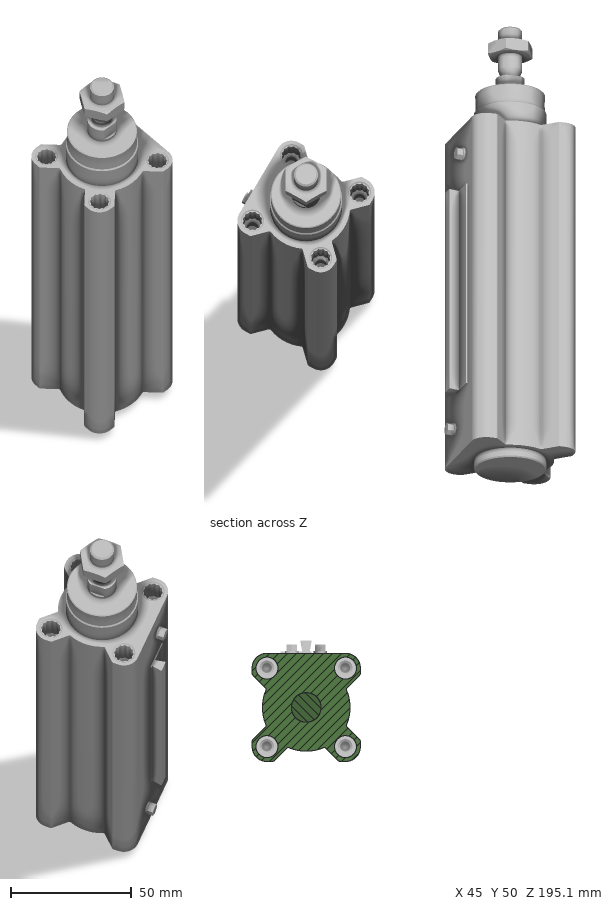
import cadquery as cq
import math


body_width = 45.0
body_length = 144.0
half_width = body_width / 2
barrel_radius = 18.25
arm_radius = 6.25
screw_offset = half_width - arm_radius
arm_corner_fillet = 1.0
barrel_blend_fillet = 0.8

collar_radius = 15.0
collar_height = 10.2
collar_chamfer_height = 0.6
neck_radius = 14.5
neck_waist_radius = 14.3
neck_top = 18.0
neck_chamfer = 0.4
spigot_height = 4.0
spigot_chamfer = 0.5

mouth_radius = 9.5 / 2
mouth_chamfer_end_radius = 8.57 / 2
socket_corner_diameter = 8.2
socket_depth = 10.0
socket_turn = 15.0
thread_radius = 6.0 / 2
thread_core_radius = 4.92 / 2
thread_hole_depth = 16.0
drill_tip_angle = 118.0

rail_length = 88.5
rail_top = 27.5
rail_width = 4.6
rail_foot_width = 2.9
rail_edge_height = 0.6
plate_thickness = 0.5
plate_left = -10.5
plate_right = rail_width / 2

cushion_x = 5.9
cushion_end_distance = 13.0
cushion_collar_diameter = 5.4
cushion_collar_height = 0.8
cushion_hex_corner_diameter = 5.1
cushion_head_height = 3.4

rod_radius = 6.0
rod_seat_bottom = -2.0
rod_flat_width = 10.0
rod_flat_bottom = 19.3
rod_shoulder = 25.2
groove_side_radius = 8.65 / 2
groove_floor_radius = 8.2 / 2
groove_top = 27.2
groove_bevel_height = 0.7
rod_thread_radius = 5.0
rod_thread_start = 28.9
rod_tip = 47.1
rod_tip_chamfer = 0.75

nut_across_flats = 17.0
nut_across_corners = nut_across_flats / math.cos(math.pi / 6)
nut_bottom = 35.2
nut_height = 5.2
nut_face_radius = 8.5
nut_chamfer_angle = 20.0

hexagon_half_turn = 30.0
SIDES = (-1, 1)


def revolve_about_z(half_section):
    """Solid of revolution from a closed (radius, z) section drawn on the XZ plane."""
    return half_section.close().revolve(360, (0, 0), (0, 1))


def fillet_upright_edges(solid, points, radius):
    """Round the edges parallel to Z that pass through the given (x, y) points."""
    tolerance = 0.01
    chosen = [
        edge
        for edge in solid.edges("|Z").vals()
        if any(math.hypot(edge.Center().x - x, edge.Center().y - y) < tolerance for x, y in points)
    ]
    return solid.newObject(chosen).fillet(radius)


def make_profile():
    """Rounded square cut down to a round barrel, two crossed diagonal arms and a filled back."""
    flank_on_square = half_width - arm_radius * math.sqrt(2)
    flank_length = math.sqrt(barrel_radius**2 - arm_radius**2)
    blend_far = (flank_length + arm_radius) / math.sqrt(2)
    blend_near = (flank_length - arm_radius) / math.sqrt(2)

    square = cq.Workplane("XY").rect(body_width, body_width).extrude(-body_length)
    square = square.edges("|Z").fillet(arm_radius)
    filled = cq.Workplane("XY").circle(barrel_radius).extrude(-body_length)
    arms = cq.Workplane("XY").rect(2 * body_width, 2 * arm_radius).extrude(-body_length)
    for angle in (45, 135):
        filled = filled.union(arms.rotate((0, 0, 0), (0, 0, 1), angle))
    back = cq.Workplane("XY").center(0, half_width / 2).rect(2 * flank_on_square, half_width)
    filled = filled.union(back.extrude(-body_length))
    profile = square.intersect(filled).clean()

    corners = [(sx * half_width, sy * flank_on_square) for sx in SIDES for sy in SIDES]
    corners += [(sx * flank_on_square, -half_width) for sx in SIDES]
    blends = [(sx * blend_far, sy * blend_near) for sx in SIDES for sy in SIDES]
    blends += [(sx * blend_near, -blend_far) for sx in SIDES]
    profile = fillet_upright_edges(profile, corners, arm_corner_fillet)
    return fillet_upright_edges(profile, blends, barrel_blend_fillet)


def make_collar_and_spigot():
    """Turned core: rear spigot, front collar and the slightly waisted neck above it."""
    spigot_bottom = -body_length - spigot_height
    neck_edge = neck_top - neck_chamfer
    section = (
        cq.Workplane("XZ")
        .moveTo(0, spigot_bottom)
        .lineTo(collar_radius - spigot_chamfer, spigot_bottom)
        .lineTo(collar_radius, spigot_bottom + spigot_chamfer)
        .lineTo(collar_radius, collar_height - collar_chamfer_height)
        .lineTo(neck_radius, collar_height)
        .threePointArc((neck_waist_radius, (collar_height + neck_edge) / 2), (neck_radius, neck_edge))
        .lineTo(neck_radius - neck_chamfer, neck_top)
        .lineTo(0, neck_top)
    )
    return revolve_about_z(section)


def make_screw_hole():
    """Cutter for one corner hole, with its mouth at the origin."""
    mouth_depth = mouth_radius - mouth_chamfer_end_radius
    thread_start = socket_depth + thread_radius - thread_core_radius
    tip_depth = thread_hole_depth + thread_core_radius / math.tan(math.radians(drill_tip_angle / 2))
    section = cq.Workplane("XZ").polyline(
        [
            (0, 0),
            (mouth_radius, 0),
            (mouth_chamfer_end_radius, -mouth_depth),
            (thread_radius, -mouth_depth),
            (thread_radius, -socket_depth),
            (thread_core_radius, -thread_start),
            (thread_core_radius, -thread_hole_depth),
            (0, -tip_depth),
        ]
    )
    cutter = revolve_about_z(section)
    hexagon = cq.Workplane("XY").polygon(6, socket_corner_diameter).extrude(-socket_depth)
    for angle in (socket_turn, socket_turn + hexagon_half_turn):
        cutter = cutter.union(hexagon.rotate((0, 0, 0), (0, 0, 1), angle))
    return cutter


def make_rail_and_plate():
    """Rail with sides tapering to its foot, centred along the back, on a thin plate."""
    half_top = rail_width / 2
    half_foot = rail_foot_width / 2
    bottom = cq.Workplane("XY", origin=(0, 0, -(body_length + rail_length) / 2))
    rail = (
        bottom.moveTo(-half_foot, half_width)
        .lineTo(half_foot, half_width)
        .lineTo(half_top, rail_top - rail_edge_height)
        .lineTo(half_top, rail_top)
        .lineTo(-half_top, rail_top)
        .lineTo(-half_top, rail_top - rail_edge_height)
        .close()
        .extrude(rail_length)
    )
    plate = (
        bottom.center((plate_left + plate_right) / 2, half_width + plate_thickness / 2)
        .rect(plate_right - plate_left, plate_thickness)
        .extrude(rail_length)
    )
    return rail.union(plate)


def make_cushion_screw(x, z):
    """Hexagon screw head on a round collar, standing on the flat back with corners along Z."""
    seat = cq.Plane(origin=(x, half_width, z), xDir=(0, 0, 1), normal=(0, 1, 0))
    collar = cq.Workplane(seat).circle(cushion_collar_diameter / 2).extrude(cushion_collar_height)
    head = cq.Workplane(seat).polygon(6, cushion_hex_corner_diameter).extrude(cushion_head_height)
    return collar.union(head)


def make_housing():
    housing = make_profile().union(make_collar_and_spigot())
    screw_hole = make_screw_hole()
    for sx in SIDES:
        for sy in SIDES:
            housing = housing.cut(screw_hole.translate((sx * screw_offset, sy * screw_offset, 0)))
    housing = housing.union(make_rail_and_plate())
    housing = housing.union(make_cushion_screw(-cushion_x, -cushion_end_distance))
    housing = housing.union(make_cushion_screw(cushion_x, cushion_end_distance - body_length))
    rod_seat = cq.Workplane("XY", origin=(0, 0, rod_seat_bottom)).circle(rod_radius)
    return housing.cut(rod_seat.extrude(neck_top - rod_seat_bottom))


def make_rod():
    """Turned rod with a groove below the thread and two wrench flats facing -X and +X."""
    section = cq.Workplane("XZ").polyline(
        [
            (0, rod_seat_bottom),
            (rod_radius, rod_seat_bottom),
            (rod_radius, rod_shoulder),
            (groove_side_radius, rod_shoulder),
            (groove_floor_radius, rod_shoulder + groove_bevel_height),
            (groove_floor_radius, groove_top - groove_bevel_height),
            (groove_side_radius, groove_top),
            (rod_thread_radius, rod_thread_start),
            (rod_thread_radius, rod_tip - rod_tip_chamfer),
            (rod_thread_radius - rod_tip_chamfer, rod_tip),
            (0, rod_tip),
        ]
    )
    rod = revolve_about_z(section)
    flat_height = rod_shoulder - rod_flat_bottom
    flat_cutter = cq.Workplane("XY", origin=(0, 0, rod_flat_bottom))
    flat_cutter = flat_cutter.rect(rod_radius, 2 * rod_radius).extrude(flat_height)
    for sx in SIDES:
        rod = rod.cut(flat_cutter.translate((sx * (rod_flat_width + rod_radius) / 2, 0, 0)))
    return rod


def make_nut():
    """Hexagon nut with flats facing -X and +X, its corners turned down on both faces."""
    base = cq.Workplane("XY", origin=(0, 0, nut_bottom))
    hexagon = base.polygon(6, nut_across_corners).extrude(nut_height)
    hexagon = hexagon.rotate((0, 0, 0), (0, 0, 1), hexagon_half_turn)
    corner_radius = nut_across_corners / 2
    nut_top = nut_bottom + nut_height
    drop = (corner_radius - nut_face_radius) * math.tan(math.radians(nut_chamfer_angle))
    envelope = cq.Workplane("XZ").polyline(
        [
            (0, nut_bottom),
            (nut_face_radius, nut_bottom),
            (corner_radius, nut_bottom + drop),
            (corner_radius, nut_top - drop),
            (nut_face_radius, nut_top),
            (0, nut_top),
        ]
    )
    nut = hexagon.intersect(revolve_about_z(envelope))
    return nut.cut(base.circle(rod_thread_radius).extrude(nut_height))


housing = make_housing()
rod = make_rod()
nut = make_nut()
result = cq.Compound.makeCompound([housing.val(), rod.val(), nut.val()])